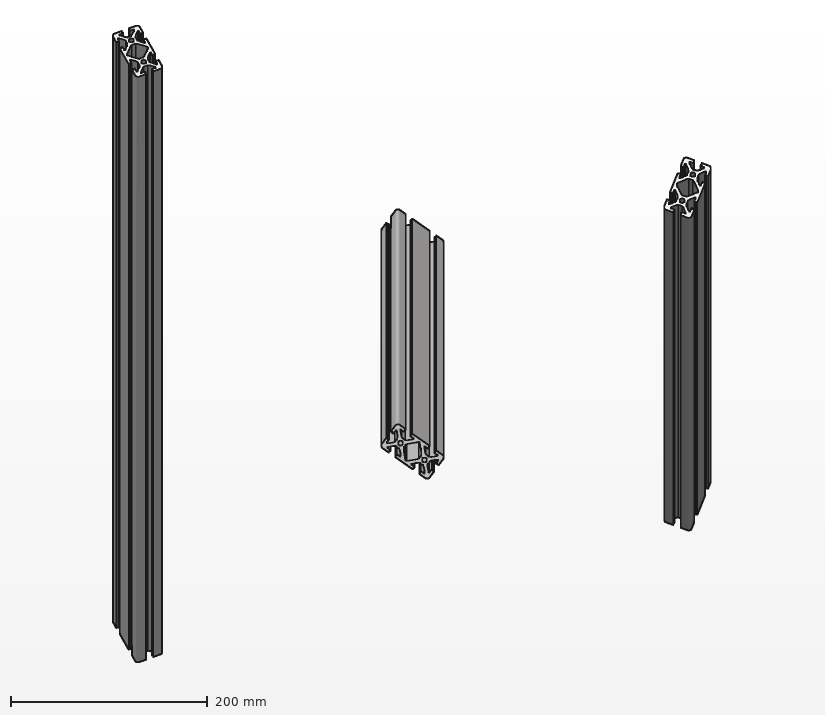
import cadquery as cq

LENGTH = 1000.0
CELL = 30.0
WIDTH = 2 * CELL
DEPTH = CELL
CORNER_RADIUS = 3.3

MOUTH_HALF = 4.1
THROAT_HALF = 3.7
STEP_DEPTH = 2.0
LIP_THICKNESS = 3.3
POCKET_HALF = 8.0
POCKET_WALL = 1.0
FLOOR_HALF = 3.8
FLANK = POCKET_HALF - FLOOR_HALF
FLOOR_DEPTH = LIP_THICKNESS + POCKET_WALL + FLANK

TROUGH_HALF = 2.2
TROUGH_DEPTH = 1.0

CORE_HOLE_DIAMETER = 5.0
CHAMBER_HALF_X = FLOOR_DEPTH
CHAMBER_HALF_Y = 11.5
CHAMBER_CHAMFER = CHAMBER_HALF_Y - FLOOR_HALF

SLOTS = [
    (-CELL / 2, -DEPTH / 2, 0),
    (CELL / 2, -DEPTH / 2, 0),
    (WIDTH / 2, 0, 90),
    (CELL / 2, DEPTH / 2, 180),
    (-CELL / 2, DEPTH / 2, 180),
    (-WIDTH / 2, 0, 270),
]


def make_blank():
    blank = cq.Workplane("XY").rect(WIDTH, DEPTH).extrude(LENGTH)
    return blank.edges("|Z").fillet(CORNER_RADIUS)


def make_slot():
    """T-slot opening at y = 0 and cutting toward +Y."""
    pocket_end = LIP_THICKNESS + POCKET_WALL
    right_side = [
        (MOUTH_HALF, 0),
        (MOUTH_HALF, STEP_DEPTH),
        (THROAT_HALF, STEP_DEPTH),
        (THROAT_HALF, LIP_THICKNESS),
        (POCKET_HALF, LIP_THICKNESS),
        (POCKET_HALF, pocket_end),
        (FLOOR_HALF, FLOOR_DEPTH),
        (TROUGH_HALF, FLOOR_DEPTH + TROUGH_DEPTH),
    ]
    left_side = [(-x, y) for x, y in reversed(right_side)]
    return cq.Workplane("XY").polyline(right_side + left_side).close().extrude(LENGTH)


def make_chamber():
    """Octagonal chamber with the floor trough of the slots on its two core sides."""
    chamber = cq.Workplane("XY").rect(2 * CHAMBER_HALF_X, 2 * CHAMBER_HALF_Y).extrude(LENGTH)
    chamber = chamber.edges("|Z").chamfer(CHAMBER_CHAMFER)
    trough_x = CHAMBER_HALF_X + TROUGH_DEPTH
    trough_pair = [
        (-trough_x, -TROUGH_HALF),
        (-CHAMBER_HALF_X, -FLOOR_HALF),
        (CHAMBER_HALF_X, -FLOOR_HALF),
        (trough_x, -TROUGH_HALF),
        (trough_x, TROUGH_HALF),
        (CHAMBER_HALF_X, FLOOR_HALF),
        (-CHAMBER_HALF_X, FLOOR_HALF),
        (-trough_x, TROUGH_HALF),
    ]
    return chamber.union(cq.Workplane("XY").polyline(trough_pair).close().extrude(LENGTH))


def make_core_holes():
    centres = [(-CELL / 2, 0), (CELL / 2, 0)]
    return cq.Workplane("XY").pushPoints(centres).circle(CORE_HOLE_DIAMETER / 2).extrude(LENGTH)


result = make_blank()
slot = make_slot()
for slot_x, slot_y, turn in SLOTS:
    placed_slot = slot.rotate((0, 0, 0), (0, 0, 1), turn).translate((slot_x, slot_y, 0))
    result = result.cut(placed_slot)
result = result.cut(make_chamber()).cut(make_core_holes())